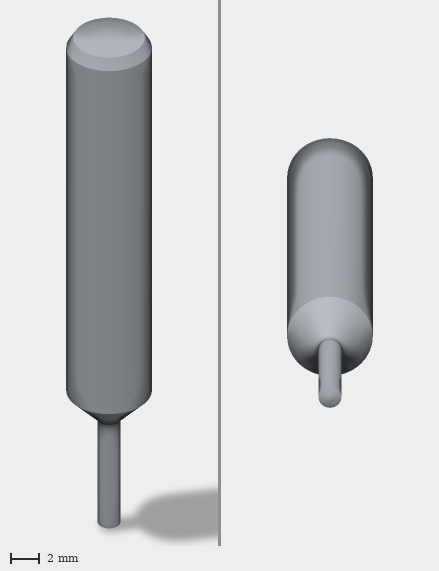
import cadquery as cq
import math

total_length = 41.0

bit_diameter = 1.6
bit_length = 8.98
point_angle = 140.0

shank_diameter = 6.0
shank_start = 11.35
top_chamfer_width = 0.5
top_chamfer_height = 0.8

bit_radius = bit_diameter / 2
shank_radius = shank_diameter / 2
point_height = bit_radius / math.tan(math.radians(point_angle / 2))


def revolve_profile(profile):
    """Turn a closed radius-height profile around the Z axis."""
    return profile.close().revolve(360, (0, 0, 0), (0, 1, 0))


def make_bit():
    """Round pin with its point down and its flat end against the shank."""
    profile = (
        cq.Workplane("XZ")
        .lineTo(bit_radius, point_height)
        .lineTo(bit_radius, bit_length)
        .lineTo(0, bit_length)
    )
    return revolve_profile(profile)


def make_shank():
    """Cylinder with a chamfered top and a cone below that meets the bit."""
    profile = (
        cq.Workplane("XZ")
        .moveTo(0, bit_length)
        .lineTo(bit_radius, bit_length)
        .lineTo(shank_radius, shank_start)
        .lineTo(shank_radius, total_length - top_chamfer_height)
        .lineTo(shank_radius - top_chamfer_width, total_length)
        .lineTo(0, total_length)
    )
    return revolve_profile(profile)


bit = make_bit()
shank = make_shank()

result = cq.Compound.makeCompound([shank.val(), bit.val()])